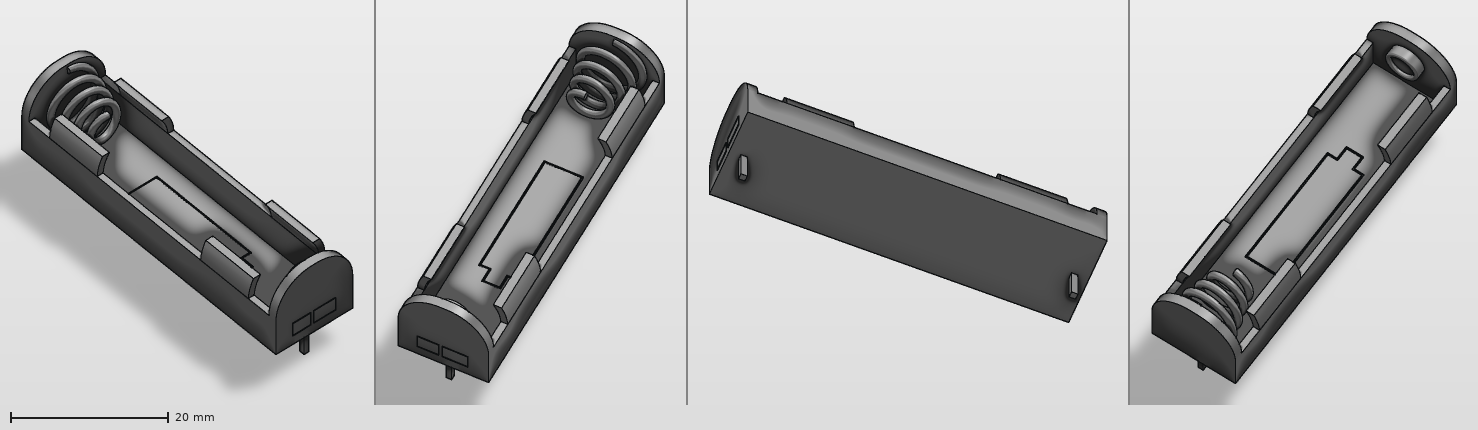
import cadquery as cq
import math

total_length = 49.5
mark_height = 0.1
body_length = total_length - mark_height
body_width = 12.9
wall_top = 6.0
end_top = 12.0
wall = 1.0
floor = 0.8
end_thickness = 1.4
inner_end = body_length - end_thickness

shoulder_radius = end_top - wall_top
shoulder_offset = body_width / 2 - shoulder_radius

clip_length = 9.25
clip_inset = 5.4
clip_top = 8.95
clip_centre_height = 5.7
clip_radius = body_width / 2

pin_width = 0.9
pin_thickness = 0.8
pin_length = 5.0
pin_inset = 1.55

symbol_start = 15.55
symbol_length = 18.4
symbol_width = 5.65
symbol_nub_length = 2.1
symbol_nub_width = 2.65
groove_width = 0.2
groove_depth = 0.2

wire_radius = 0.55
spring_turns = 4
spring_pitch = 2.0
spring_cone_angle = 15.0
spring_base_radius = 4.45
spring_height = 6.55

contact_radius = 2.53
contact_wall = 0.7
contact_length = 1.65
contact_height = 7.55
contact_rounding = 0.3
contact_recess = 0.6
contact_gap = 0.1
contact_neck_radius = 1.0

mark_spans = ((-3.7, -0.65), (-0.15, 3.5))
mark_bottom = 1.65
mark_top = 3.8


def box(x, y, z):
    """Box spanning the given (low, high) ranges."""
    size = [high - low for low, high in (x, y, z)]
    return cq.Workplane("XY").box(*size, centered=False).translate((x[0], y[0], z[0]))


def end_plate(x):
    half = body_width / 2
    middle = shoulder_radius * math.sqrt(0.5)
    return (
        cq.Workplane("YZ", origin=(x, 0, 0))
        .moveTo(-half, 0)
        .lineTo(half, 0)
        .lineTo(half, wall_top)
        .threePointArc((shoulder_offset + middle, wall_top + middle), (shoulder_offset, end_top))
        .lineTo(-shoulder_offset, end_top)
        .threePointArc((-shoulder_offset - middle, wall_top + middle), (-half, wall_top))
        .close()
        .extrude(end_thickness)
    )


def tray():
    half = body_width / 2
    block = box((0, body_length), (-half, half), (0, wall_top))
    cavity = box((end_thickness, inner_end), (wall - half, half - wall), (floor, wall_top))
    return block.cut(cavity).union(end_plate(0)).union(end_plate(inner_end))


def clip(x):
    """Curved clip rising from the +Y wall."""
    ring = (
        cq.Workplane("YZ", origin=(x, 0, clip_centre_height))
        .circle(clip_radius)
        .circle(clip_radius - wall)
        .extrude(clip_length)
    )
    return ring.intersect(box((x, x + clip_length), (0, body_width), (wall_top, clip_top)))


def pin(x):
    half = pin_thickness / 2
    return box((x, x + pin_width), (-half, half), (-pin_length, floor))


def symbol_outline(inset):
    """Battery outline moved inwards by the inset, as a slab reaching the groove depth."""
    low = symbol_start + inset
    shoulder = symbol_start + symbol_length - inset
    tip = shoulder + symbol_nub_length
    half = symbol_width / 2 - inset
    nub_half = symbol_nub_width / 2 - inset
    bottom = floor - groove_depth
    return box((low, shoulder), (-half, half), (bottom, floor)).union(
        box((shoulder, tip), (-nub_half, nub_half), (bottom, floor))
    )


def spring():
    """Wire coil narrowing away from the near end plate."""
    cone = math.radians(spring_cone_angle)
    length = spring_turns * spring_pitch
    tip_radius = spring_base_radius - length * math.tan(cone)
    path = cq.Wire.makeHelix(
        spring_pitch / math.cos(cone),
        length / math.cos(cone),
        tip_radius,
        angle=spring_cone_angle,
        lefthand=True,
    )
    coil = (
        cq.Workplane("XZ", origin=(tip_radius, 0, 0))
        .circle(wire_radius)
        .sweep(cq.Workplane(path), isFrenet=True)
    )
    return coil.rotate((0, 0, 0), (0, 1, 0), -90).translate((end_thickness + length, 0, spring_height))


def contact():
    """Cup with a rounded rim, open towards the spring and held off the end plate by a short neck."""
    neck = (
        cq.Workplane("YZ", origin=(inner_end, 0, contact_height))
        .circle(contact_neck_radius)
        .extrude(-contact_gap)
    )
    cup = (
        cq.Workplane("YZ", origin=(inner_end - contact_gap, 0, contact_height))
        .circle(contact_radius)
        .extrude(-contact_length)
        .faces("<X")
        .workplane()
        .circle(contact_radius - contact_wall)
        .cutBlind(-contact_recess)
        .faces("<X")
        .edges()
        .fillet(contact_rounding)
    )
    return cup.union(neck)


def mark(span):
    return box((inner_end, total_length), span, (mark_bottom, mark_top))


result = tray()
for x in (clip_inset, body_length - clip_inset - clip_length):
    result = result.union(clip(x)).union(clip(x).mirror("XZ"))
for x in (pin_inset, body_length - pin_inset - pin_width):
    result = result.union(pin(x))
result = result.cut(symbol_outline(0).cut(symbol_outline(groove_width)))
result = result.union(contact()).union(spring())
for span in mark_spans:
    result = result.union(mark(span))